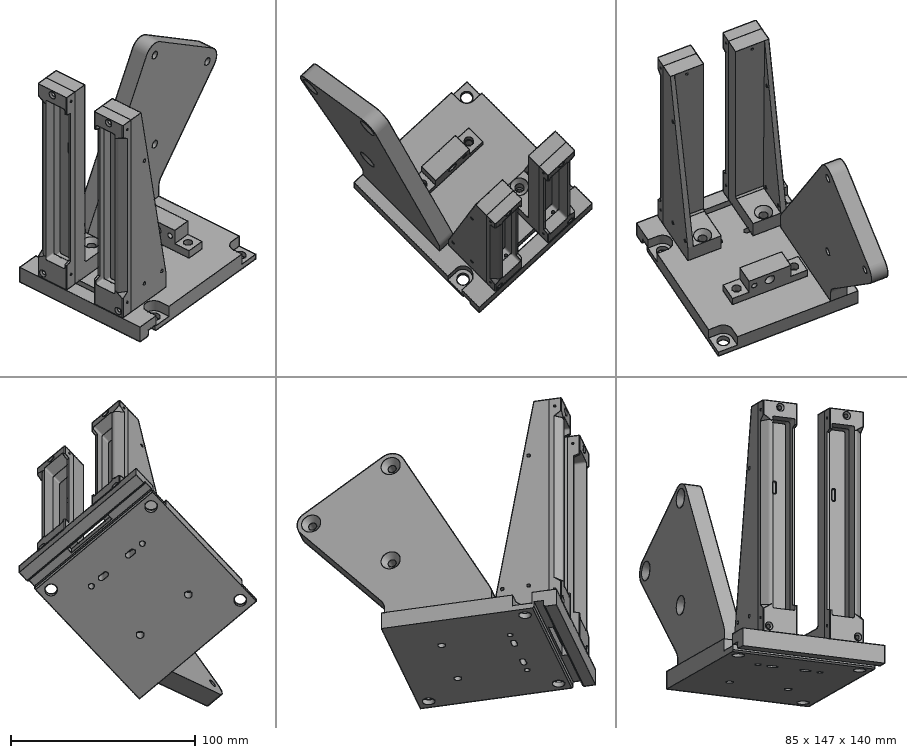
import cadquery as cq
import math

OVER = 1.5

BASE_WIDTH = 85.0
BASE_LENGTH = 98.0
BASE_HEIGHT = 10.0
CORNER_HOLE_X = 36.3
CORNER_HOLE_FRONT_Y = 19.1
CORNER_HOLE_BACK_Y = 91.9
CORNER_HOLE_DIAMETER = 6.8
CORNER_SEAT_RADIUS = 5.5
CORNER_SEAT_DEPTH = 6.8
GROOVE_FRONT_Y = 7.2
GROOVE_WIDTH = 5.3
GROOVE_HEIGHT = 3.8
GROOVE_CHAMFER = 0.9
WINDOW_FRONT_Y = 8.2
WINDOW_WIDTH = 3.2
WINDOW_LENGTH = 29.4
PIN_SLOT_WIDTH = 3.1
PIN_SLOT_LENGTH = 6.2
PIN_SLOT_INNER_X = 6.8

PLATE_THICKNESS = 10.0
PLATE_LEFT_X = -35.9
PLATE_RADIUS = 8.0
PLATE_FRONT_Y = 37.9
PLATE_BACK_Y = 147.0
FRONT_ARC_Z = 17.8
BACK_BEND_Z = 23.0
PLATE_HOLE_Y = 94.5
LOW_HOLE_Z = 47.0
HIGH_HOLE_Z = 107.3
REAR_HOLE_Z = 77.5
PLATE_HOLE_DIAMETER = 4.4
PLATE_SINK_DIAMETER = 10.7

BLOCK_LENGTH = 45.5
BLOCK_DEPTH = 11.0
BLOCK_FRONT_Y = 65.1
BLOCK_HEIGHT = 14.0
BLOCK_RAISED_LENGTH = 25.5
BLOCK_TAB_HEIGHT = 5.0
BLOCK_SCREW_X = 17.5
BLOCK_SCREW_DIAMETER = 5.0
BASE_BLOCK_SCREW_DIAMETER = 4.1
CROSS_HOLE_Z = 18.8
CROSS_HOLE_DIAMETER = 5.7
SIDE_HOLE_X = 9.4
SIDE_HOLE_DIAMETER = 3.2

COLUMN_OUTER_X = 30.0
COLUMN_INNER_X = 9.7
COLUMN_TOP_Z = 140.0
COLUMN_MIDDLE_Z = 77.3
FRAME_FRONT_Y = 0.5
FRAME_BACK_Y = 7.3
FRAME_EDGE_CHAMFER = 0.5
WEDGE_BACK_Y = 36.9
WEDGE_TOP_Y = 15.9
FOOT_HEIGHT = 10.0
WEB_THICKNESS = 3.4
WEB_TOP_THICKNESS = 2.6
CAVITY_CHAMFER = 1.0
FOOT_SCREW_X = 18.5
FOOT_SCREW_Y = 32.0
FOOT_SCREW_DIAMETER = 4.9
FOOT_SINK_DIAMETER = 9.8
BASE_FOOT_SCREW_DIAMETER = 3.1
WEB_HOLE_DIAMETER = 1.9
WEB_HOLE_FRONT_Y = 18.8
WEB_HOLE_BACK_Y = 33.5
WEB_HOLE_LOW_Z = 22.8
WEB_HOLE_HIGH_Z = 105.8

POCKET_OUTER_WALL = 5.6
POCKET_INNER_WALL = 1.3
FRAME_POCKET_BOTTOM_Z = 23.5
WEDGE_POCKET_BOTTOM_Z = 20.9
POCKET_TOP_Z = 131.4
POCKET_FLOOR_Y = 12.6
POCKET_CORNER_RADIUS = 1.0
KEY_SLOT_Z = 95.0
KEY_SLOT_WIDTH = 2.4
KEY_SLOT_LENGTH = 7.3
KEY_SLOT_DEPTH = 0.5
LEDGE_HOLE_DIAMETER = 1.8
LEDGE_HOLE_DEPTH = 4.4
LEDGE_HOLE_SPACING = 7.6
LEDGE_HOLE_Y = 8.8

BEVEL_DEPTH = 4.0
BEVEL_BLEND_RADIUS = 2.4
BEVEL_HALF_HEIGHT = 51.6
STEP_DEPTH = 3.4
STEP_HALF_HEIGHT = 51.0
STEP_END_RISE = 1.2

FRAME_SCREW_DIAMETER = 2.4
FRAME_SINK_DIAMETER = 4.4
WEDGE_SCREW_DIAMETER = 1.5
WEDGE_SCREW_DEPTH = 10.0
TOP_SCREW_Z = 136.8
LOW_SCREW_Z = 13.1
LOW_SCREW_X = 26.6
SIDE_PIN_DIAMETER = 1.2
SIDE_PIN_DEPTH = 2.0
SIDE_PIN_Y = 4.3
SIDE_PIN_LOW_Z = 18.4
SIDE_PIN_HIGH_Z = 135.2

COLUMN_WIDTH = COLUMN_OUTER_X - COLUMN_INNER_X
COLUMN_CENTER_X = (COLUMN_OUTER_X + COLUMN_INNER_X) / 2
POCKET_CENTER_X = COLUMN_CENTER_X + (POCKET_INNER_WALL - POCKET_OUTER_WALL) / 2
BLOCK_CENTER_Y = BLOCK_FRONT_Y + BLOCK_DEPTH / 2
FRAME_SCREWS = [(COLUMN_CENTER_X, TOP_SCREW_Z), (LOW_SCREW_X, LOW_SCREW_Z)]


def box(x0, x1, y0, y1, z0, z1):
    """Box between two opposite corners."""
    return cq.Workplane("XY").box(x1 - x0, y1 - y0, z1 - z0, centered=False).translate((x0, y0, z0))


def rod(diameter, start, direction, length):
    """Cylinder from a start point along a direction."""
    return cq.Workplane(
        cq.Solid.makeCylinder(diameter / 2, length, cq.Vector(*start), cq.Vector(*direction))
    )


def sink(mouth_diameter, hole_diameter, start, direction):
    """90 degree countersink cone from its mouth down to the hole."""
    depth = (mouth_diameter - hole_diameter) / 2
    return cq.Workplane(
        cq.Solid.makeCone(
            mouth_diameter / 2, hole_diameter / 2, depth, cq.Vector(*start), cq.Vector(*direction)
        )
    )


def corner_seat(x, y, open_back):
    """Screw hole with a flat seat that opens to the nearest side, and to the back if asked."""
    seat_z = BASE_HEIGHT - CORNER_SEAT_DEPTH
    top_z = BASE_HEIGHT + OVER
    edge_x = math.copysign(BASE_WIDTH / 2 + OVER, x)
    left, right = sorted((x, edge_x))
    seat = rod(2 * CORNER_SEAT_RADIUS, (x, y, seat_z), (0, 0, 1), CORNER_SEAT_DEPTH + OVER)
    seat = seat.union(box(left, right, y - CORNER_SEAT_RADIUS, y + CORNER_SEAT_RADIUS, seat_z, top_z))
    if open_back:
        inner_left, inner_right = sorted((x - math.copysign(CORNER_SEAT_RADIUS, x), edge_x))
        seat = seat.union(box(inner_left, inner_right, y, BASE_LENGTH + OVER, seat_z, top_z))
    return seat.union(rod(CORNER_HOLE_DIAMETER, (x, y, -OVER), (0, 0, 1), top_z + OVER))


def cross_groove():
    """Groove across the underside with chamfered mouths."""
    front = GROOVE_FRONT_Y
    back = GROOVE_FRONT_Y + GROOVE_WIDTH
    return (
        cq.Workplane("YZ")
        .polyline([
            (front - GROOVE_CHAMFER, 0),
            (front, GROOVE_CHAMFER),
            (front, GROOVE_HEIGHT),
            (back, GROOVE_HEIGHT),
            (back, GROOVE_CHAMFER),
            (back + GROOVE_CHAMFER, 0),
        ])
        .close()
        .extrude(BASE_WIDTH / 2, both=True)
    )


def make_base():
    half_width = BASE_WIDTH / 2
    base = box(-half_width, half_width, 0, BASE_LENGTH, 0, BASE_HEIGHT).cut(cross_groove())
    base = base.cut(corner_seat(-CORNER_HOLE_X, CORNER_HOLE_FRONT_Y, False))
    base = base.cut(corner_seat(CORNER_HOLE_X, CORNER_HOLE_FRONT_Y, False))
    base = base.cut(corner_seat(CORNER_HOLE_X, CORNER_HOLE_BACK_Y, True))
    half_window = WINDOW_LENGTH / 2
    window_back_y = WINDOW_FRONT_Y + WINDOW_WIDTH
    base = base.cut(box(-half_window, half_window, WINDOW_FRONT_Y, window_back_y, 0, BASE_HEIGHT))
    for side in (-1, 1):
        slot_x = side * (PIN_SLOT_INNER_X + PIN_SLOT_LENGTH / 2)
        pin_slot = (
            cq.Workplane("XY")
            .center(slot_x, FOOT_SCREW_Y)
            .slot2D(PIN_SLOT_LENGTH, PIN_SLOT_WIDTH)
            .extrude(BASE_HEIGHT)
        )
        foot_screw = rod(
            BASE_FOOT_SCREW_DIAMETER, (side * FOOT_SCREW_X, FOOT_SCREW_Y, 0), (0, 0, 1), BASE_HEIGHT
        )
        block_screw = rod(
            BASE_BLOCK_SCREW_DIAMETER, (side * BLOCK_SCREW_X, BLOCK_CENTER_Y, 0), (0, 0, 1), BASE_HEIGHT
        )
        base = base.cut(pin_slot).cut(foot_screw).cut(block_screw)
    return base


def make_side_plate():
    """Leaning plate: a core outline grown by one radius, cut level with the base top."""
    rear_hole_y = PLATE_BACK_Y - PLATE_RADIUS
    core_front_y = PLATE_FRONT_Y + PLATE_RADIUS
    core_back_y = BASE_LENGTH - PLATE_RADIUS
    plate = (
        cq.Workplane("YZ", origin=(PLATE_LEFT_X, 0, 0))
        .polyline([
            (core_front_y, BASE_HEIGHT),
            (core_front_y, FRONT_ARC_Z),
            (PLATE_HOLE_Y, HIGH_HOLE_Z),
            (rear_hole_y, REAR_HOLE_Z),
            (core_back_y, BACK_BEND_Z),
            (core_back_y, BASE_HEIGHT),
        ])
        .close()
        .offset2D(PLATE_RADIUS)
        .extrude(PLATE_THICKNESS)
    )
    right_x = PLATE_LEFT_X + PLATE_THICKNESS
    plate = plate.cut(box(PLATE_LEFT_X, right_x, 0, PLATE_BACK_Y, -BASE_HEIGHT, BASE_HEIGHT))
    back_bend = cq.selectors.BoxSelector(
        (PLATE_LEFT_X, BASE_LENGTH - OVER, BASE_HEIGHT + OVER), (right_x, BASE_LENGTH + OVER, BACK_BEND_Z)
    )
    plate = plate.edges("|X").edges(back_bend).fillet(PLATE_RADIUS)
    holes = [(PLATE_HOLE_Y, LOW_HOLE_Z), (PLATE_HOLE_Y, HIGH_HOLE_Z), (rear_hole_y, REAR_HOLE_Z)]
    for y, z in holes:
        mouth = (PLATE_LEFT_X, y, z)
        plate = plate.cut(rod(PLATE_HOLE_DIAMETER, mouth, (1, 0, 0), PLATE_THICKNESS))
        plate = plate.cut(sink(PLATE_SINK_DIAMETER, PLATE_HOLE_DIAMETER, mouth, (1, 0, 0)))
    return plate


def make_block():
    """Block with a raised middle, a screw tab at each end and two holes from front to back."""
    back_y = BLOCK_FRONT_Y + BLOCK_DEPTH
    half_length = BLOCK_LENGTH / 2
    half_raised = BLOCK_RAISED_LENGTH / 2
    tab_top_z = BASE_HEIGHT + BLOCK_TAB_HEIGHT
    block = box(-half_length, half_length, BLOCK_FRONT_Y, back_y, BASE_HEIGHT, tab_top_z)
    raised_top_z = BASE_HEIGHT + BLOCK_HEIGHT
    block = block.union(box(-half_raised, half_raised, BLOCK_FRONT_Y, back_y, BASE_HEIGHT, raised_top_z))
    for side in (-1, 1):
        start = (side * BLOCK_SCREW_X, BLOCK_CENTER_Y, BASE_HEIGHT)
        block = block.cut(rod(BLOCK_SCREW_DIAMETER, start, (0, 0, 1), BLOCK_TAB_HEIGHT))
    for diameter, x in ((CROSS_HOLE_DIAMETER, 0), (SIDE_HOLE_DIAMETER, SIDE_HOLE_X)):
        block = block.cut(rod(diameter, (x, BLOCK_FRONT_Y, CROSS_HOLE_Z), (0, 1, 0), BLOCK_DEPTH))
    return block


def pocket(bottom_z):
    """Tall pocket with rounded corners, from in front of the frame to its floor in the wedge."""
    left = COLUMN_INNER_X + POCKET_INNER_WALL
    right = COLUMN_OUTER_X - POCKET_OUTER_WALL
    return (
        box(left, right, -OVER, POCKET_FLOOR_Y, bottom_z, POCKET_TOP_Z)
        .edges("|Y")
        .fillet(POCKET_CORNER_RADIUS)
    )


def key_slot():
    """Shallow upright slot in the pocket floor, with walls that lean in."""
    return (
        cq.Workplane("XZ", origin=(POCKET_CENTER_X, POCKET_FLOOR_Y, KEY_SLOT_Z))
        .slot2D(KEY_SLOT_LENGTH, KEY_SLOT_WIDTH, 90)
        .extrude(-KEY_SLOT_DEPTH, taper=45)
    )


def web_cavity():
    """Hollow above the foot, open to the back and the inner side, widening upward."""
    floor_z = BASE_HEIGHT + FOOT_HEIGHT
    inner_x = COLUMN_INNER_X - OVER
    back_y = WEDGE_BACK_Y + OVER

    def outline(web_thickness, z):
        right_x = COLUMN_OUTER_X - web_thickness
        corners = [(inner_x, WEDGE_TOP_Y), (right_x, WEDGE_TOP_Y), (right_x, back_y), (inner_x, back_y)]
        return cq.Wire.makePolygon([cq.Vector(x, y, z) for x, y in corners], close=True)

    bottom = outline(WEB_THICKNESS, floor_z)
    top = outline(WEB_TOP_THICKNESS, COLUMN_TOP_Z)
    cavity = cq.Workplane(cq.Solid.makeLoft([bottom, top], True))
    return cavity.edges("<Y and <Z").chamfer(CAVITY_CHAMFER)


def make_wedge():
    """Support with a sloping web on its outer side, a screwed foot and a pocketed front wall."""
    foot_top_z = BASE_HEIGHT + FOOT_HEIGHT
    wedge = (
        cq.Workplane("YZ", origin=(COLUMN_INNER_X, 0, 0))
        .polyline([
            (FRAME_BACK_Y, BASE_HEIGHT),
            (WEDGE_BACK_Y, BASE_HEIGHT),
            (WEDGE_BACK_Y, foot_top_z),
            (WEDGE_TOP_Y, COLUMN_TOP_Z),
            (FRAME_BACK_Y, COLUMN_TOP_Z),
        ])
        .close()
        .extrude(COLUMN_WIDTH)
    )
    wedge = wedge.cut(web_cavity()).cut(pocket(WEDGE_POCKET_BOTTOM_Z)).cut(key_slot())
    for side in (-1, 1):
        ledge_hole = (POCKET_CENTER_X + side * LEDGE_HOLE_SPACING / 2, LEDGE_HOLE_Y, WEDGE_POCKET_BOTTOM_Z)
        wedge = wedge.cut(rod(LEDGE_HOLE_DIAMETER, ledge_hole, (0, 0, -1), LEDGE_HOLE_DEPTH))
    foot_mouth = (FOOT_SCREW_X, FOOT_SCREW_Y, foot_top_z)
    wedge = wedge.cut(rod(FOOT_SCREW_DIAMETER, foot_mouth, (0, 0, -1), FOOT_HEIGHT))
    wedge = wedge.cut(sink(FOOT_SINK_DIAMETER, FOOT_SCREW_DIAMETER, foot_mouth, (0, 0, -1)))
    web_holes = [
        (WEB_HOLE_FRONT_Y, WEB_HOLE_LOW_Z),
        (WEB_HOLE_BACK_Y, WEB_HOLE_LOW_Z),
        (WEB_HOLE_FRONT_Y, WEB_HOLE_HIGH_Z),
    ]
    for y, z in web_holes:
        wedge = wedge.cut(rod(WEB_HOLE_DIAMETER, (COLUMN_OUTER_X, y, z), (-1, 0, 0), WEB_THICKNESS))
    for x, z in FRAME_SCREWS:
        wedge = wedge.cut(rod(WEDGE_SCREW_DIAMETER, (x, FRAME_BACK_Y, z), (0, 1, 0), WEDGE_SCREW_DEPTH))
    return wedge


def outer_bevel():
    """Cutter for the outer front corner: a 45 degree bevel blended into the front face,
    closed at both ends by 45 degree slopes."""
    diagonal = math.sqrt(0.5)
    blend_depth = BEVEL_BLEND_RADIUS * (1 - diagonal)
    bevel_leg = BEVEL_DEPTH - blend_depth
    bevel_width = bevel_leg + BEVEL_BLEND_RADIUS * diagonal
    low_z = COLUMN_MIDDLE_Z - BEVEL_HALF_HEIGHT
    high_z = COLUMN_MIDDLE_Z + BEVEL_HALF_HEIGHT
    corner = (
        cq.Workplane("XY")
        .moveTo(COLUMN_OUTER_X, FRAME_FRONT_Y + BEVEL_DEPTH)
        .lineTo(COLUMN_OUTER_X - bevel_leg, FRAME_FRONT_Y + blend_depth)
        .tangentArcPoint((COLUMN_OUTER_X - bevel_width, FRAME_FRONT_Y), relative=False)
        .lineTo(COLUMN_OUTER_X, FRAME_FRONT_Y)
        .close()
        .extrude(COLUMN_TOP_Z)
    )
    span = math.hypot(bevel_width, BEVEL_DEPTH)
    reach = bevel_width * BEVEL_DEPTH / span
    sloped_ends = (
        cq.Workplane(
            cq.Plane(
                origin=(COLUMN_OUTER_X - bevel_width, FRAME_FRONT_Y, 0),
                xDir=(-BEVEL_DEPTH, bevel_width, 0),
                normal=(bevel_width, BEVEL_DEPTH, 0),
            )
        )
        .polyline([(0, low_z), (-reach, low_z - reach), (-reach, high_z + reach), (0, high_z)])
        .close()
        .extrude(span)
    )
    return corner.intersect(sloped_ends)


def inner_step():
    """Cutter for the inner front corner: a square step whose ends slope toward the front."""
    step_back_y = FRAME_FRONT_Y + STEP_DEPTH
    low_z = COLUMN_MIDDLE_Z - STEP_HALF_HEIGHT
    high_z = COLUMN_MIDDLE_Z + STEP_HALF_HEIGHT
    return (
        cq.Workplane("YZ", origin=(COLUMN_INNER_X, 0, 0))
        .polyline([
            (FRAME_FRONT_Y, low_z),
            (step_back_y, low_z + STEP_END_RISE),
            (step_back_y, high_z - STEP_END_RISE),
            (FRAME_FRONT_Y, high_z),
        ])
        .close()
        .extrude(POCKET_INNER_WALL)
    )


def make_frame():
    """Frame around the pocket, screwed to the front of the wedge."""
    frame = (
        box(COLUMN_INNER_X, COLUMN_OUTER_X, FRAME_FRONT_Y, FRAME_BACK_Y, BASE_HEIGHT, COLUMN_TOP_Z)
        .edges("<Y and |Z")
        .chamfer(FRAME_EDGE_CHAMFER)
    )
    frame = frame.cut(outer_bevel()).cut(inner_step()).cut(pocket(FRAME_POCKET_BOTTOM_Z))
    for x, z in FRAME_SCREWS:
        mouth = (x, FRAME_FRONT_Y, z)
        frame = frame.cut(rod(FRAME_SCREW_DIAMETER, mouth, (0, 1, 0), FRAME_BACK_Y))
        frame = frame.cut(sink(FRAME_SINK_DIAMETER, FRAME_SCREW_DIAMETER, mouth, (0, 1, 0)))
    for z in (SIDE_PIN_LOW_Z, SIDE_PIN_HIGH_Z):
        for x, inward in ((COLUMN_INNER_X, 1), (COLUMN_OUTER_X, -1)):
            start = (x, SIDE_PIN_Y, z)
            frame = frame.cut(rod(SIDE_PIN_DIAMETER, start, (inward, 0, 0), SIDE_PIN_DEPTH))
    return frame


base = make_base()
side_plate = make_side_plate()
block = make_block()
wedges = []
frames = []
for copies, right_body in ((wedges, make_wedge()), (frames, make_frame())):
    copies.append(right_body.val())
    copies.append(right_body.mirror("YZ").val())

result = cq.Compound.makeCompound([base.val(), side_plate.val(), block.val(), *wedges, *frames])